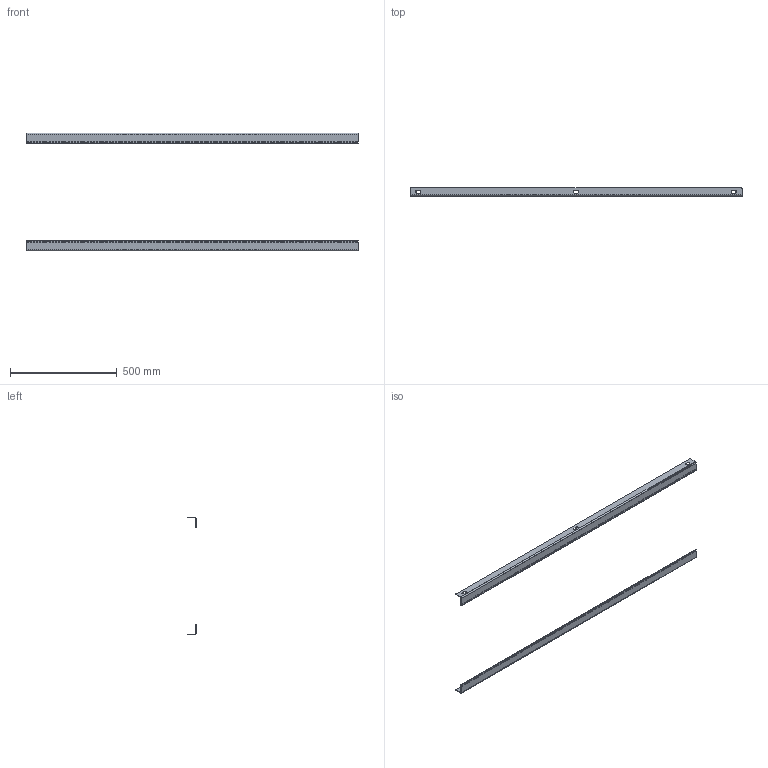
import cadquery as cq

rack_unit = 44.45
unit_count = 35
rail_length = unit_count * rack_unit
overall_height = 552.48
half_height = overall_height / 2

face_width = 50.0
flange_depth = 38.1
sheet_thickness = 3.175
bend_inner_radius = sheet_thickness
bend_outer_radius = bend_inner_radius + sheet_thickness
corner_radius = 3.175
face_y = -flange_depth / 2
inner_face_y = face_y + sheet_thickness
inner_flange_z = half_height - sheet_thickness

rack_hole_diameter = 7.14
rack_hole_row_spacing = 465.1
rack_hole_z = rack_hole_row_spacing / 2
rack_hole_offsets = (6.35, 22.225, 38.1)

slot_length = 25.4
slot_width = 11.1125
slot_y = 0
slot_end_distance = 38.1
end_slot_x = rail_length / 2 - slot_end_distance
slot_positions = (-end_slot_x, 0, end_slot_x)


def angle_bar():
    """Bent angle with its face on the -Y side and its flange on top."""
    bar = (
        cq.Workplane("YZ")
        .moveTo(face_y, half_height - face_width)
        .lineTo(face_y, half_height)
        .lineTo(flange_depth / 2, half_height)
        .lineTo(flange_depth / 2, inner_flange_z)
        .lineTo(inner_face_y, inner_flange_z)
        .lineTo(inner_face_y, half_height - face_width)
        .close()
        .extrude(rail_length / 2, both=True)
    )

    outer_bend = cq.selectors.NearestToPointSelector((0, face_y, half_height))
    bar = bar.edges(outer_bend).fillet(bend_outer_radius)
    inner_bend = cq.selectors.NearestToPointSelector((0, inner_face_y, inner_flange_z))
    bar = bar.edges(inner_bend).fillet(bend_inner_radius)

    bar = bar.edges("|Z and >Y").fillet(corner_radius)
    return bar.edges("|Y and <Z").fillet(corner_radius)


def rack_hole_cutters():
    """Cylinders through the face, spaced to the rack pattern."""
    points = [
        (unit * rack_unit + offset - rail_length / 2, rack_hole_z)
        for unit in range(unit_count)
        for offset in rack_hole_offsets
    ]
    return (
        cq.Workplane("XZ")
        .pushPoints(points)
        .circle(rack_hole_diameter / 2)
        .extrude(flange_depth)
    )


def slot_cutters():
    """Round-ended slots through the flange."""
    return (
        cq.Workplane("XY")
        .pushPoints([(x, slot_y) for x in slot_positions])
        .slot2D(slot_length, slot_width)
        .extrude(overall_height)
    )


def rail():
    """Complete rail, placed at the top of the rack opening."""
    return angle_bar().cut(rack_hole_cutters()).cut(slot_cutters())


upper_rail = rail()
lower_rail = upper_rail.mirror("XY")

result = cq.Compound.makeCompound([upper_rail.val(), lower_rail.val()])